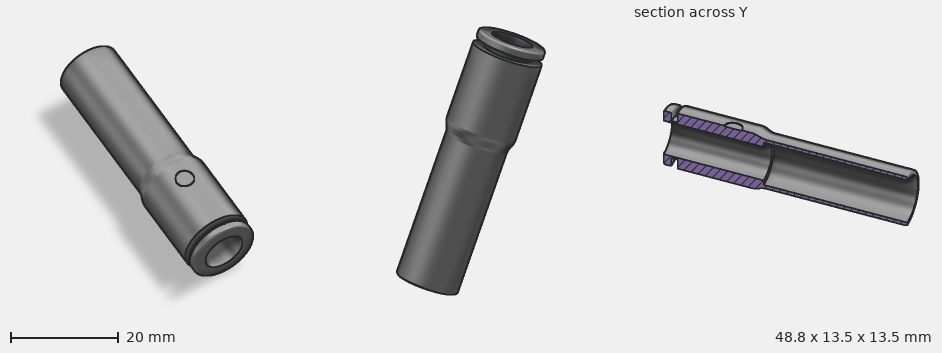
import cadquery as cq

total_length = 48.8

tube_radius = 6.0
tube_bore_radius = 5.08
tube_end_round = 0.45

shoulder_start = 28.75
shoulder_end = 30.65
shoulder_blend = 1.95

body_radius = 6.76
body_end = 46.0

neck_radius = 4.6
flange_start = 47.2
flange_radius = 6.55
flange_inner_round = 0.3
flange_outer_round = 0.45

through_radius = 4.0
tube_bore_depth = shoulder_start

badge_center = 34.85
badge_radius = 1.75
badge_depth = 0.15


def cylinder_along_x(start, end, radius):
    return cq.Workplane("YZ", origin=(start, 0, 0)).circle(radius).extrude(end - start)


def round_rim(solid, x, radius, fillet_radius):
    """Fillet the circular edge of the given radius at position x."""
    tolerance = 0.005
    reach = radius + tolerance
    rim = cq.selectors.BoxSelector(
        (x - tolerance, -reach, -reach), (x + tolerance, reach, reach), boundingbox=True
    )
    return solid.edges(rim).edges(cq.selectors.RadiusNthSelector(-1)).fillet(fillet_radius)


def make_outer_shape():
    profile = [
        (0, 0),
        (0, tube_radius),
        (shoulder_start, tube_radius),
        (shoulder_end, body_radius),
        (body_end, body_radius),
        (body_end, neck_radius),
        (flange_start, neck_radius),
        (flange_start, flange_radius),
        (total_length, flange_radius),
        (total_length, 0),
    ]
    solid = cq.Workplane("XY").polyline(profile).close().revolve(360, (0, 0, 0), (1, 0, 0))
    solid = round_rim(solid, 0, tube_radius, tube_end_round)
    solid = round_rim(solid, shoulder_start, tube_radius, shoulder_blend)
    solid = round_rim(solid, shoulder_end, body_radius, shoulder_blend)
    solid = round_rim(solid, flange_start, flange_radius, flange_inner_round)
    return round_rim(solid, total_length, flange_radius, flange_outer_round)


def make_badge_cut():
    column = (
        cq.Workplane("XY")
        .center(badge_center, 0)
        .circle(badge_radius)
        .extrude(body_radius + badge_depth)
    )
    floor = cylinder_along_x(shoulder_end, body_end, body_radius - badge_depth)
    return column.cut(floor)


through_bore = cylinder_along_x(0, total_length, through_radius)
tube_bore = cylinder_along_x(0, tube_bore_depth, tube_bore_radius)

result = make_outer_shape().cut(through_bore).cut(tube_bore).cut(make_badge_cut())